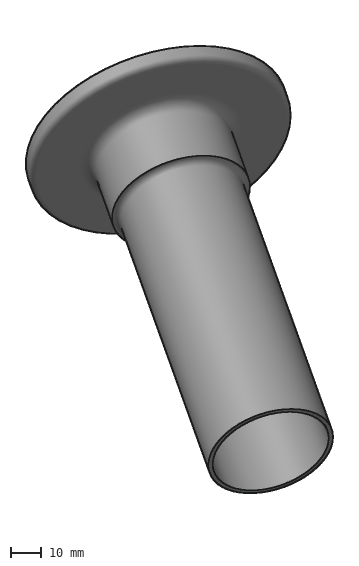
import cadquery as cq

length = 135.0

bore_diameter = 39.0
tube_diameter = 42.0
hub_diameter = 46.5
flange_diameter = 88.0

flange_thickness = 6.0
hub_end = 29.0

rim_radius = 2.0
neck_radius = 4.0

tube_radius = tube_diameter / 2
hub_radius = hub_diameter / 2
flange_radius = flange_diameter / 2
hub_step = hub_radius - tube_radius


def turned_body():
    """Solid of revolution about X: flange, hub and tube."""
    profile = (
        cq.Workplane("XY")
        .lineTo(0, flange_radius)
        .lineTo(flange_thickness - rim_radius, flange_radius)
        .radiusArc((flange_thickness, flange_radius - rim_radius), rim_radius)
        .lineTo(flange_thickness, hub_radius + neck_radius)
        .radiusArc((flange_thickness + neck_radius, hub_radius), -neck_radius)
        .lineTo(hub_end, hub_radius)
        .radiusArc((hub_end + hub_step, tube_radius), -hub_step)
        .lineTo(length, tube_radius)
        .lineTo(length, 0)
        .close()
    )
    return profile.revolve(360, (0, 0, 0), (1, 0, 0))


bore = cq.Workplane("YZ").circle(bore_diameter / 2).extrude(length)

result = turned_body().cut(bore)